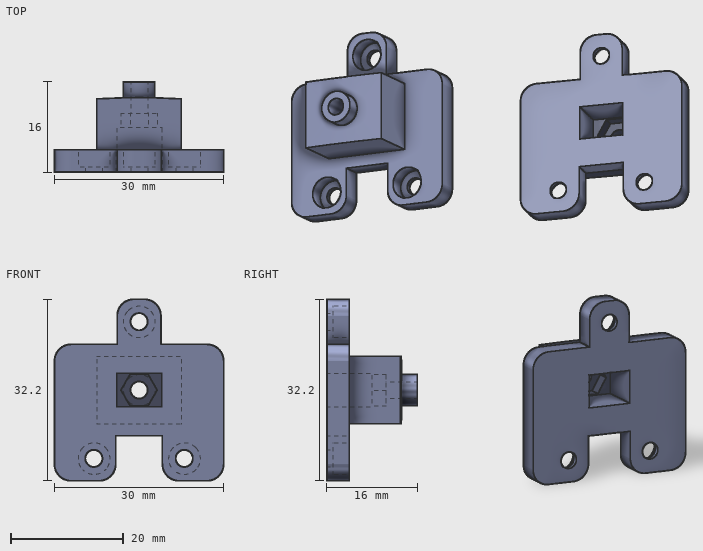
import cadquery as cq

plate_width = 30.0
total_height = 32.2
plate_thickness = 4.0
corner_radius = 3.0
tab_width = 7.8
notch_width = 8.2
step_height = 8.0
hole_diameter = 3.0
foot_hole_spacing = 16.0
counterbore_diameter = 5.6
counterbore_floor_y = 1.0
hole_inset = step_height / 2
body_height = total_height - step_height

total_depth = 16.0
block_width = 15.0
block_height = 12.0
block_side_y = 13.0
crown_height = 0.23
post_diameter = 5.6
center_z = total_height / 2

window_width = 8.0
window_height = 6.0
window_depth = 8.0
hex_across_corners = 6.4
hex_depth = 2.4


def rear_facing(y):
    """Sketch plane at depth y, centred on the block axis, extruding toward +Y."""
    return cq.Workplane("XZ", origin=(0, y, center_z)).transformed(rotate=(0, 180, 0))


def make_plate():
    body = cq.Workplane("XY").box(
        plate_width, plate_thickness, body_height, centered=(True, False, False)
    )
    notch = cq.Workplane("XY").box(
        notch_width, plate_thickness, step_height, centered=(True, False, False)
    )
    body = body.cut(notch)
    body = body.edges("|Y and (>Z or <Z)").fillet(corner_radius)
    tab = (
        cq.Workplane("XY", origin=(0, 0, center_z))
        .box(tab_width, plate_thickness, total_height - center_z, centered=(True, False, False))
        .edges("|Y and >Z")
        .fillet(corner_radius)
    )
    return body.union(tab)


def make_block():
    return (
        cq.Workplane("XY", origin=(0, 0, center_z - block_height / 2))
        .moveTo(-block_width / 2, 0)
        .lineTo(block_width / 2, 0)
        .lineTo(block_width / 2, block_side_y)
        .threePointArc((0, block_side_y + crown_height), (-block_width / 2, block_side_y))
        .close()
        .extrude(block_height)
    )


def make_post():
    return rear_facing(0).circle(post_diameter / 2).extrude(total_depth)


def make_opening():
    window = rear_facing(0).rect(window_width, window_height).extrude(window_depth)
    hex_recess = rear_facing(window_depth).polygon(6, hex_across_corners).extrude(hex_depth)
    return window.union(hex_recess)


def forward_cylinders(points, diameter, length, start_y):
    """Cylinders at (X, Z) points, running from start_y toward -Y."""
    return (
        cq.Workplane("XZ", origin=(0, start_y, 0))
        .pushPoints(points)
        .circle(diameter / 2)
        .extrude(length)
    )


def make_mounting_holes():
    points = [
        (0, total_height - hole_inset),
        (-foot_hole_spacing / 2, hole_inset),
        (foot_hole_spacing / 2, hole_inset),
    ]
    holes = forward_cylinders(points, hole_diameter, plate_thickness, plate_thickness)
    counterbore_depth = plate_thickness - counterbore_floor_y
    counterbores = forward_cylinders(points, counterbore_diameter, counterbore_depth, plate_thickness)
    return holes.union(counterbores)


def make_center_hole():
    return forward_cylinders([(0, center_z)], hole_diameter, total_depth, total_depth)


result = (
    make_plate()
    .union(make_block())
    .union(make_post())
    .cut(make_opening())
    .cut(make_mounting_holes())
    .cut(make_center_hole())
)